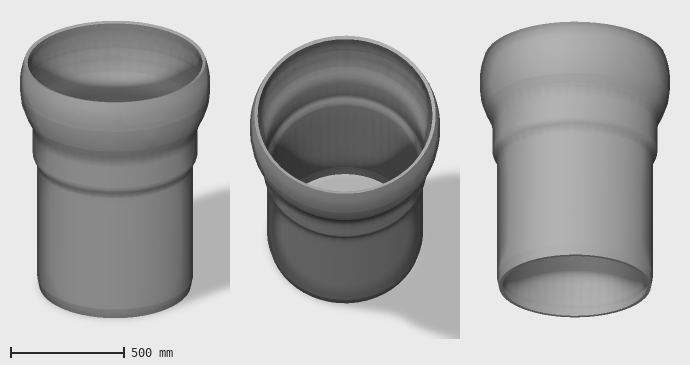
import cadquery as cq
import math

height = 1100.0
pipe_bore = 658.0

pipe_radius = 690.0 / 2
wall = pipe_radius - pipe_bore / 2
collar_radius = 730.0 / 2
socket_radius = 842.0 / 2

taper_top = 47.0
pipe_top = 600.0
collar_bottom = 659.0
collar_top = 767.0
cone_bottom = 817.0
cone_top = 854.0
socket_bottom = 965.0
socket_top = 992.0

taper_inset = 9.0
lip_inset = 20.0

cone_angle = math.radians(26.3)

lip_bend = ((height - socket_top) ** 2 + lip_inset**2) / (2 * lip_inset)
lip_angle = math.asin((height - socket_top) / lip_bend)
lip_center = (socket_radius - lip_bend, socket_top)
socket_bend = (socket_bottom - cone_top) / math.sin(cone_angle)
throat_bend = (cone_bottom - collar_top) / math.sin(cone_angle)

shoulder_rise = collar_bottom - pipe_top
shoulder_angle = 2 * math.atan((collar_radius - pipe_radius) / shoulder_rise)
shoulder_bend = shoulder_rise / 2 / math.sin(shoulder_angle)

taper_angle = math.atan(taper_inset / taper_top)


def arc_point(center, radius, angle):
    """Point on a circle in the (radius, height) half plane; angle is measured from outward."""
    return (center[0] + radius * math.cos(angle), center[1] + radius * math.sin(angle))


def add_arc(profile, center, radius, start, end):
    """Continue the profile with an arc from its current point at angle start."""
    middle = arc_point(center, radius, (start + end) / 2)
    return profile.threePointArc(middle, arc_point(center, radius, end))


def body_of_revolution(inset):
    """Solid bounded by the outer surface moved inward by inset."""
    pipe = pipe_radius - inset
    collar = collar_radius - inset
    socket = socket_radius - inset

    lip = lip_bend - inset
    bulge = socket_bend - inset
    throat = throat_bend + inset
    shoulder_outer = shoulder_bend - inset
    shoulder_inner = shoulder_bend + inset

    knee = taper_top + inset * math.tan(taper_angle / 2)
    bottom_radius = pipe - knee * math.tan(taper_angle)

    profile = cq.Workplane("XZ").moveTo(0, 0).lineTo(bottom_radius, 0)
    profile = profile.lineTo(pipe, knee).lineTo(pipe, pipe_top)

    neck_center = (pipe + shoulder_inner, pipe_top)
    profile = add_arc(profile, neck_center, shoulder_inner, math.pi, math.pi - shoulder_angle)
    crest_center = (collar - shoulder_outer, collar_bottom)
    profile = add_arc(profile, crest_center, shoulder_outer, -shoulder_angle, 0)

    profile = profile.lineTo(collar, collar_top)
    throat_center = (collar + throat, collar_top)
    profile = add_arc(profile, throat_center, throat, math.pi, math.pi - cone_angle)
    bulge_center = (socket - bulge, socket_bottom)
    profile = profile.lineTo(*arc_point(bulge_center, bulge, -cone_angle))
    profile = add_arc(profile, bulge_center, bulge, -cone_angle, 0)

    profile = profile.lineTo(socket, socket_top)
    profile = add_arc(profile, lip_center, lip, 0, lip_angle)
    profile = profile.lineTo(0, arc_point(lip_center, lip, lip_angle)[1]).close()
    return profile.revolve(360, (0, 0, 0), (0, 1, 0))


def rim_cutter():
    """Funnel that leaves the rim face square to the wall, sloping down into the bore."""
    outer_edge = arc_point(lip_center, lip_bend, lip_angle)
    inner_edge = arc_point(lip_center, lip_bend - wall, lip_angle)
    profile = cq.Workplane("XZ").polyline([(0, height), outer_edge, inner_edge, (0, inner_edge[1])])
    return profile.close().revolve(360, (0, 0, 0), (0, 1, 0))


shell = body_of_revolution(0).cut(body_of_revolution(wall))
result = shell.cut(rim_cutter())